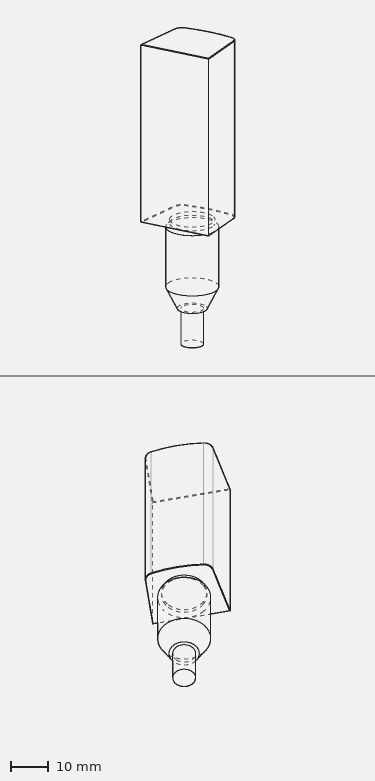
import cadquery as cq
import math

total_height = 85.0
body_width = 21.0
body_depth = 17.9

body_height = 50.0
side_taper = 5.0
crown_radius = 39.95
back_corner_radius = 2.55
edge_chamfer = 0.2

cable_diameter = 6.0
cable_length = 10.0
cone_end_diameter = 8.0
cone_length = 6.0
gland_diameter = 14.0
gland_length = 16.9
neck_diameter = 12.0
shoulder_length = (gland_diameter - neck_diameter) / 2

body_bottom = total_height - body_height


def make_housing():
    """Extrude the crowned trapezoid and break its end edges."""
    half_width = body_width / 2
    taper = math.radians(side_taper)
    crown_center_y = body_depth - crown_radius
    front_along = -half_width * math.sin(taper) - crown_center_y * math.cos(taper)
    front_across = half_width * math.cos(taper) - crown_center_y * math.sin(taper)
    side_length = math.sqrt(crown_radius**2 - front_across**2) - front_along
    corner_x = half_width - side_length * math.sin(taper)
    corner_y = side_length * math.cos(taper)

    housing = (
        cq.Workplane("XY")
        .workplane(offset=body_bottom)
        .moveTo(-half_width, 0)
        .lineTo(half_width, 0)
        .lineTo(corner_x, corner_y)
        .threePointArc((0, body_depth), (-corner_x, corner_y))
        .close()
        .extrude(body_height)
    )
    housing = housing.edges("|Z").edges(">Y").fillet(back_corner_radius)
    return housing.faces("<Z or >Z").edges().chamfer(edge_chamfer)


def make_gland_and_cable():
    """Revolve the cable, cone, gland and neck about one vertical axis."""
    cone_top = cable_length + cone_length
    gland_top = cone_top + gland_length
    profile = (
        cq.Workplane("XZ")
        .moveTo(0, 0)
        .lineTo(cable_diameter / 2, 0)
        .lineTo(cable_diameter / 2, cable_length)
        .lineTo(cone_end_diameter / 2, cable_length)
        .lineTo(gland_diameter / 2, cone_top)
        .lineTo(gland_diameter / 2, gland_top)
        .lineTo(neck_diameter / 2, gland_top + shoulder_length)
        .lineTo(neck_diameter / 2, body_bottom)
        .lineTo(0, body_bottom)
        .close()
    )
    stem = profile.revolve(360, (0, 0, 0), (0, 1, 0))
    return stem.translate((0, body_depth / 2, 0))


result = make_housing().union(make_gland_and_cable())